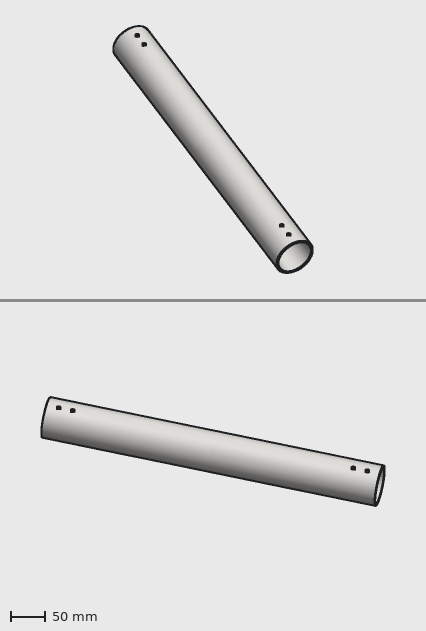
import cadquery as cq

length = 500.0
outer_diameter = 60.5
wall = 3.65
end_chamfer = 1.0
hole_diameter = 6.0
end_to_outer_hole = 19.0
hole_pitch = 21.0

tube = (
    cq.Workplane("YZ")
    .circle(outer_diameter / 2)
    .circle(outer_diameter / 2 - wall)
    .extrude(length / 2, both=True)
    .faces("<X or >X")
    .chamfer(end_chamfer)
)

outer_hole_x = length / 2 - end_to_outer_hole
inner_hole_x = outer_hole_x - hole_pitch
hole_centres = [(side * x, 0) for side in (-1, 1) for x in (outer_hole_x, inner_hole_x)]
drills = (
    cq.Workplane("XY")
    .pushPoints(hole_centres)
    .circle(hole_diameter / 2)
    .extrude(outer_diameter)
)

result = tube.cut(drills)